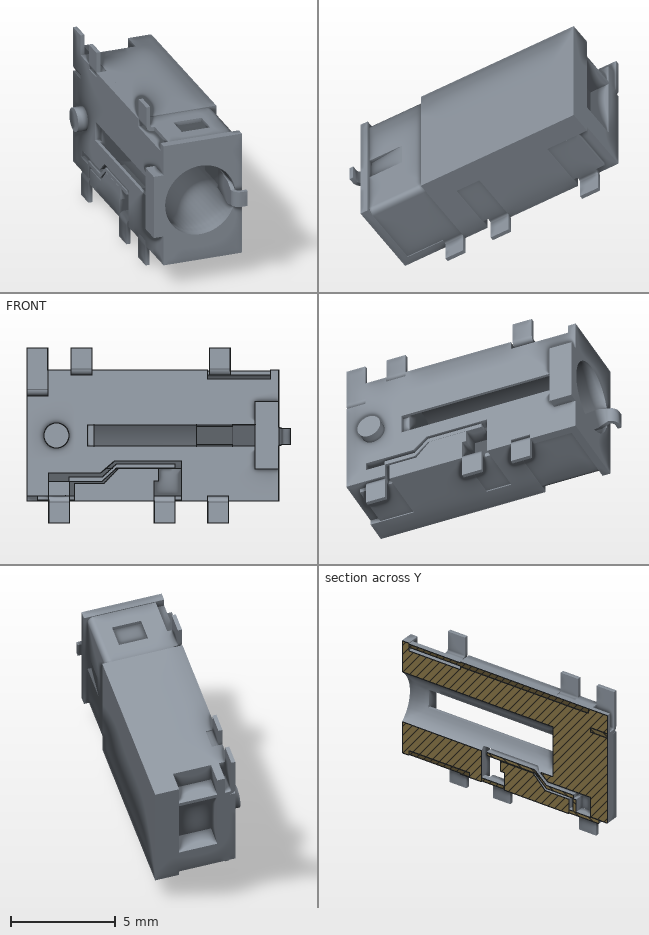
import cadquery as cq
import math

BODY_LENGTH = 12.0
BODY_DEPTH = 4.0
BODY_HEIGHT = 6.26
HALF_HEIGHT = BODY_HEIGHT / 2

BORE_DIAMETER = 3.6
BORE_Y = 1.87
BORE_START = 3.2

PEG_DIAMETER = 1.2
PEG_X = 1.41
BOSS_HEIGHT = 0.5
KEY_LEFT = 10.87
KEY_HEIGHT = 3.22
SLOT_LEFT = 2.89
SLOT_HEIGHT = 1.0
SLOT_DEPTH = 0.25

SHEET = 0.2
BEND = 0.3
TAB_WIDTH = 1.0
TAB_REACH = 1.04
TAB_TIP = HALF_HEIGHT + TAB_REACH
INSET = 0.05
OUTER_Z = HALF_HEIGHT - INSET
INNER_Z = OUTER_Z - SHEET
SHEET_FRONT = 0.43
INNER_DEPTH = 2.8

POCKET_LENGTH = 1.0
POCKET_FRONT = 0.9
POCKET_BOTTOM = -1.5
END_NOTCH_DEPTH = 0.52
END_SHEET_Z = 1.89

STRIP_LEFT = 1.16
WRAP_LEFT = 8.08
RECESS_LEFT = 8.61
RECESS_RIGHT = 11.6
SHELL_BACK = 3.82
LEDGE_Z = 2.7
REAR_TAB_X = 2.1
REAR_TAB_NOTCH = 0.53
TOP_TAB_X = 8.7
WINDOW_LEFT = 9.55
WINDOW_LENGTH = 1.15
WINDOW_FRONT = 1.43
WINDOW_WIDTH = 1.45

TONGUE_LEFT = 9.79
TONGUE_HEIGHT = 1.16
HOOK_RIGHT = 12.57
HOOK_Z = -0.05
HOOK_HEIGHT = 0.78
HOOK_FRONT = 3.37
HOOK_BEND = 0.41
HOOK_LEFT = HOOK_RIGHT - HOOK_BEND
HOOK_TIP = 4.07

GROOVE_LEFT = 1.03
GROOVE_RIGHT = 7.37
GROOVE_DEPTH = 1.0
GROOVE_LOW = -1.78
GROOVE_HIGH = -1.21
GROOVE_RAMP = (3.52, 4.19)
ISLAND_LEFT = 2.26
ISLAND_RIGHT = 6.27
ISLAND_LOW = -2.3
ISLAND_HIGH = -1.57
ISLAND_RAMP = (3.66, 4.36)
ISLAND_STEP_Z = -2.16

SPRING_PLATE_LEFT = 0.52
SPRING_TAB_X = GROOVE_LEFT
SPRING_LOW = -2.19
SPRING_HIGH = -1.56
SPRING_RAMP = (3.58, 4.27)
SPRING_END = 7.06
SPRING_LAP = 0.04
SWITCH_TAB_X = SPRING_END - TAB_WIDTH


def box(x, y, z):
    """Block between the given (low, high) limits on each axis."""
    size = [high - low for low, high in (x, y, z)]
    return cq.Workplane("XY").box(*size, centered=False).translate((x[0], y[0], z[0]))


def tab(left, inner_z, neck_back):
    """Upward solder tab: a neck with its underside at inner_z, bent up along the front face."""
    mid = math.sqrt(0.5)
    outer_mid = (BEND - BEND * mid, inner_z + BEND - BEND * mid)
    inner_bend = BEND - SHEET
    inner_mid = (BEND - inner_bend * mid, inner_z + BEND - inner_bend * mid)
    return (
        cq.Workplane("YZ", origin=(left, 0, 0))
        .moveTo(neck_back, inner_z)
        .lineTo(BEND, inner_z)
        .threePointArc(outer_mid, (0, inner_z + BEND))
        .lineTo(0, TAB_TIP)
        .lineTo(SHEET, TAB_TIP)
        .lineTo(SHEET, inner_z + BEND)
        .threePointArc(inner_mid, (BEND, inner_z + SHEET))
        .lineTo(neck_back, inner_z + SHEET)
        .close()
        .extrude(TAB_WIDTH)
    )


def bottom_tab(left):
    """Solder tab of the bottom sheets, the mirror image of an upward one."""
    return tab(left, INNER_Z, SHEET_FRONT).mirror("XY")


def make_end_contact():
    """Shelf across the left pocket, bent up into the corner tab."""
    return tab(0, END_SHEET_Z, INNER_DEPTH)


def make_shell_wrap():
    """C-shaped sheet with rounded back corners, open to the front."""
    x_range = (WRAP_LEFT, RECESS_RIGHT)
    outer = box(x_range, (SHEET_FRONT, SHELL_BACK), (-OUTER_Z, OUTER_Z))
    inner = box(x_range, (SHEET_FRONT, SHELL_BACK - SHEET), (-INNER_Z, INNER_Z))
    outer = outer.edges("|X and >Y").fillet(BEND)
    inner = inner.edges("|X and >Y").fillet(BEND - SHEET)
    return outer.cut(inner)


def make_tongue():
    """Spring tongue that leans in from the back sheet, ending in a hook beyond the right end."""
    arc_mid = math.sqrt(0.5) * HOOK_BEND
    inner_bend = HOOK_BEND - SHEET
    inner_mid = math.sqrt(0.5) * inner_bend
    bend_y = HOOK_FRONT + HOOK_BEND
    half_tongue = TONGUE_HEIGHT / 2
    half_hook = HOOK_HEIGHT / 2
    profile = (
        cq.Workplane("XY", origin=(0, 0, HOOK_Z - half_tongue))
        .moveTo(TONGUE_LEFT, SHELL_BACK - SHEET)
        .lineTo(HOOK_LEFT, HOOK_FRONT)
        .threePointArc((HOOK_LEFT + arc_mid, bend_y - arc_mid), (HOOK_RIGHT, bend_y))
        .lineTo(HOOK_RIGHT, HOOK_TIP)
        .lineTo(HOOK_RIGHT - SHEET, HOOK_TIP)
        .lineTo(HOOK_RIGHT - SHEET, bend_y)
        .threePointArc((HOOK_LEFT + inner_mid, bend_y - inner_mid), (HOOK_LEFT, HOOK_FRONT + SHEET))
        .lineTo(TONGUE_LEFT, SHELL_BACK)
        .close()
        .extrude(TONGUE_HEIGHT)
    )
    outline = (
        cq.Workplane("XZ", origin=(0, HOOK_TIP, HOOK_Z))
        .polyline(
            [
                (TONGUE_LEFT, -half_tongue),
                (RECESS_RIGHT, -half_tongue),
                (HOOK_LEFT, -half_hook),
                (HOOK_RIGHT, -half_hook),
                (HOOK_RIGHT, half_hook),
                (HOOK_LEFT, half_hook),
                (RECESS_RIGHT, half_tongue),
                (TONGUE_LEFT, half_tongue),
            ]
        )
        .close()
        .extrude(HOOK_TIP)
    )
    return profile.intersect(outline)


def make_shell_contact():
    """Wrap, flush top strip, three solder tabs and tongue in one sheet."""
    opening_z = (HOOK_Z - TONGUE_HEIGHT / 2, HOOK_Z + TONGUE_HEIGHT / 2)
    tongue_opening = box((TONGUE_LEFT, RECESS_RIGHT), (BORE_Y, BODY_DEPTH), opening_z)
    window = box(
        (WINDOW_LEFT, WINDOW_LEFT + WINDOW_LENGTH),
        (WINDOW_FRONT, WINDOW_FRONT + WINDOW_WIDTH),
        (LEDGE_Z, HALF_HEIGHT),
    )
    strip_z = (INNER_Z, HALF_HEIGHT)
    strip = box((STRIP_LEFT, RECESS_LEFT), (SHEET_FRONT, INNER_DEPTH), strip_z)
    step = box((WRAP_LEFT, RECESS_LEFT), (SHEET_FRONT, SHELL_BACK - BEND), strip_z)
    rear_tab_x = (REAR_TAB_X, REAR_TAB_X + TAB_WIDTH)
    rear_notch = box(rear_tab_x, (SHEET_FRONT, REAR_TAB_NOTCH), (OUTER_Z, HALF_HEIGHT))
    return (
        make_shell_wrap()
        .cut(tongue_opening)
        .cut(window)
        .union(strip)
        .union(step)
        .cut(rear_notch)
        .union(tab(REAR_TAB_X, INNER_Z, REAR_TAB_NOTCH))
        .union(tab(TOP_TAB_X, INNER_Z, SHEET_FRONT))
        .union(bottom_tab(RECESS_LEFT))
        .union(make_tongue())
    )


def bottom_plate(left, right):
    """Flat sheet lying in a recess of the bottom face."""
    return box((left, right), (SHEET_FRONT, INNER_DEPTH), (-OUTER_Z, -INNER_Z))


def make_spring_contact():
    """Bottom plate and tab, an upright bracket and the cranked spring that it carries."""
    bracket_x = (SPRING_TAB_X, SPRING_TAB_X + TAB_WIDTH)
    bracket_z = (-INNER_Z, SPRING_LOW)
    web_x = (bracket_x[1] - SHEET, bracket_x[1])
    spring_left = bracket_x[1] - SPRING_LAP
    lower = [
        (spring_left, SPRING_LOW),
        (SPRING_RAMP[0], SPRING_LOW),
        (SPRING_RAMP[1], SPRING_HIGH),
        (SPRING_END, SPRING_HIGH),
    ]
    upper = [
        (SPRING_END, SPRING_HIGH + SHEET),
        (SPRING_RAMP[1], SPRING_HIGH + SHEET),
        (SPRING_RAMP[0], SPRING_LOW + SHEET),
        (spring_left, SPRING_LOW + SHEET),
    ]
    spring = cq.Workplane("XZ").polyline(lower + upper).close().extrude(-GROOVE_DEPTH)
    return (
        bottom_plate(SPRING_PLATE_LEFT, ISLAND_LEFT)
        .union(bottom_tab(SPRING_TAB_X))
        .union(box(bracket_x, (0, SHEET), bracket_z))
        .union(box(web_x, (0, GROOVE_DEPTH), bracket_z))
        .union(spring)
    )


def make_switch_contact():
    """Bottom plate with a solder tab under the free end of the spring."""
    return bottom_plate(SWITCH_TAB_X, GROOVE_RIGHT).union(bottom_tab(SWITCH_TAB_X))


def make_groove():
    """Cranked groove round the island, open to the bottom face at both ends."""
    outline = [
        (GROOVE_LEFT, -HALF_HEIGHT),
        (GROOVE_LEFT, GROOVE_LOW),
        (GROOVE_RAMP[0], GROOVE_LOW),
        (GROOVE_RAMP[1], GROOVE_HIGH),
        (GROOVE_RIGHT, GROOVE_HIGH),
        (GROOVE_RIGHT, -HALF_HEIGHT),
        (SWITCH_TAB_X, -HALF_HEIGHT),
        (SWITCH_TAB_X, ISLAND_STEP_Z),
        (ISLAND_RIGHT, ISLAND_STEP_Z),
        (ISLAND_RIGHT, ISLAND_HIGH),
        (ISLAND_RAMP[1], ISLAND_HIGH),
        (ISLAND_RAMP[0], ISLAND_LOW),
        (ISLAND_LEFT, ISLAND_LOW),
        (ISLAND_LEFT, -HALF_HEIGHT),
    ]
    return cq.Workplane("XZ").polyline(outline).close().extrude(-GROOVE_DEPTH)


def cut_openings(housing):
    """Bore, front slot, groove and the pocket and corner notch of the left end."""
    bore = (
        cq.Workplane("YZ", origin=(BORE_START, BORE_Y, 0))
        .circle(BORE_DIAMETER / 2)
        .extrude(BODY_LENGTH - BORE_START)
    )
    half_slot = SLOT_HEIGHT / 2
    slot = box((SLOT_LEFT, KEY_LEFT), (0, SLOT_DEPTH), (-half_slot, half_slot))
    pocket_x = (0, POCKET_LENGTH)
    pocket = box(pocket_x, (POCKET_FRONT, INNER_DEPTH), (POCKET_BOTTOM, HALF_HEIGHT))
    notch = box(pocket_x, (0, END_NOTCH_DEPTH), (END_SHEET_Z, HALF_HEIGHT))
    return housing.cut(bore).cut(slot).cut(make_groove()).cut(pocket).cut(notch)


def cut_contact_seats(housing):
    """Room for the contact sheets on the top, back and bottom."""
    recess_x = (RECESS_LEFT, RECESS_RIGHT)
    rear_tab_x = (REAR_TAB_X, REAR_TAB_X + TAB_WIDTH)
    shell_tab_x = (RECESS_LEFT, RECESS_LEFT + TAB_WIDTH)
    whole_depth = (0, BODY_DEPTH)
    whole_height = (-HALF_HEIGHT, HALF_HEIGHT)
    bottom = (-HALF_HEIGHT, -INNER_Z)
    tongue_z = (HOOK_Z - TONGUE_HEIGHT / 2, HOOK_Z + TONGUE_HEIGHT / 2)
    seats = [
        box(recess_x, whole_depth, (LEDGE_Z, HALF_HEIGHT)),
        box(recess_x, (SHELL_BACK - SHEET, BODY_DEPTH), whole_height),
        box(recess_x, (SHEET_FRONT, BODY_DEPTH), bottom),
        box(shell_tab_x, (0, SHEET_FRONT), bottom),
        box(rear_tab_x, (0, REAR_TAB_NOTCH), (INNER_Z, HALF_HEIGHT)),
        box((TONGUE_LEFT, BODY_LENGTH), (BORE_Y, SHELL_BACK - SHEET), tongue_z),
        box((0, ISLAND_LEFT), (0, INNER_DEPTH), bottom),
        box((SWITCH_TAB_X, GROOVE_RIGHT), (0, INNER_DEPTH), bottom),
    ]
    for seat in seats:
        housing = housing.cut(seat)
    return housing


def make_housing(contacts):
    """Moulded block with a locating peg and a key on its front face."""
    block = box((0, BODY_LENGTH), (0, BODY_DEPTH), (-HALF_HEIGHT, HALF_HEIGHT))
    housing = cut_contact_seats(cut_openings(block))
    for contact in contacts:
        housing = housing.cut(contact)
    peg = cq.Workplane("XZ").center(PEG_X, 0).circle(PEG_DIAMETER / 2).extrude(BOSS_HEIGHT)
    key = box((KEY_LEFT, BODY_LENGTH), (-BOSS_HEIGHT, 0), (-KEY_HEIGHT / 2, KEY_HEIGHT / 2))
    return housing.union(peg).union(key)


end_contact = make_end_contact()
shell_contact = make_shell_contact()
spring_contact = make_spring_contact()
switch_contact = make_switch_contact()
housing = make_housing([end_contact, shell_contact, spring_contact, switch_contact])

result = cq.Compound.makeCompound(
    [
        housing.solids().val(),
        end_contact.solids().val(),
        shell_contact.solids().val(),
        spring_contact.solids().val(),
        switch_contact.solids().val(),
    ]
)